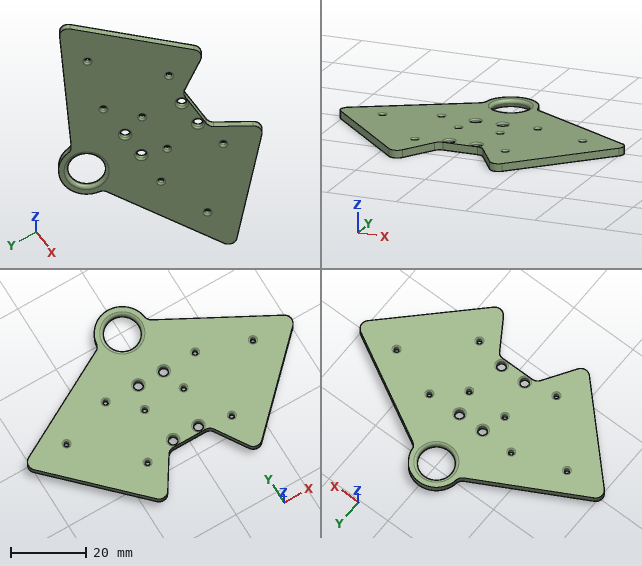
import cadquery as cq

thickness = 2.2
ring_radius = 7.5
shoulder_peak_y = 3.9
wing_tip = (42.35, -19.2)
foot_tip = (14.2, -47.3)
notch_corner = (6.3, -34.9)
corner_radius = 2.4

ring_hole_diameter = 10.0
ring_hole_rim = 1.0
mount_hole_diameter = 2.6
mount_hole_rim = 0.5
mount_hole_x = 3.9
mount_hole_rows = (-14.9, -33.05)
screw_hole_diameter = 1.4
screw_hole_rim = 0.5
screw_hole_places = ((28.9, -19.5), (13.9, -14.6), (6.0, -21.8), (13.05, -35.1))


def mirrored(point):
    return (-point[0], point[1])


def plate():
    """Winged plate with a round eye, every vertical corner rounded."""
    right_side = [wing_tip, foot_tip, notch_corner]
    left_side = [mirrored(point) for point in reversed(right_side)]
    wings = cq.Workplane("XY").polyline([(0, shoulder_peak_y)] + right_side + left_side).close()
    eye = cq.Workplane("XY").circle(ring_radius).extrude(thickness)
    blank = wings.extrude(thickness).union(eye)
    return blank.edges("|Z").fillet(corner_radius)


def hole_cutter(x, y, diameter, rim):
    """Through hole that flares to both faces along convex quarter rounds."""
    radius = diameter / 2
    rim_mid = rim * (1 - 0.5 ** 0.5)
    profile = (
        cq.Workplane("XZ")
        .lineTo(radius + rim, 0)
        .threePointArc((radius + rim_mid, rim_mid), (radius, rim))
        .lineTo(radius, thickness - rim)
        .threePointArc((radius + rim_mid, thickness - rim_mid), (radius + rim, thickness))
        .lineTo(0, thickness)
        .close()
    )
    return profile.revolve(360, (0, 0, 0), (0, 1, 0)).translate((x, y, 0))


result = plate().cut(hole_cutter(0, 0, ring_hole_diameter, ring_hole_rim))
for side in (-1, 1):
    for y in mount_hole_rows:
        result = result.cut(hole_cutter(side * mount_hole_x, y, mount_hole_diameter, mount_hole_rim))
    for x, y in screw_hole_places:
        result = result.cut(hole_cutter(side * x, y, screw_hole_diameter, screw_hole_rim))